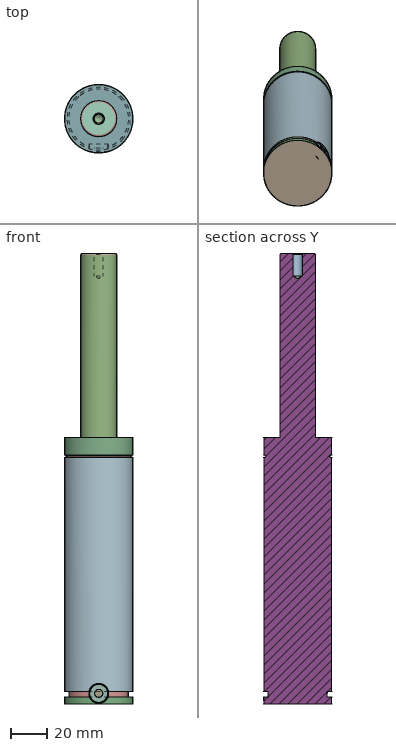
import cadquery as cq
import math

total_height = 250.0
body_diameter = 38.0
rod_diameter = 20.0
body_height = 148.0
rod_edge_radius = 1.0

base_groove_bottom = 4.0
base_groove_width = 3.0
base_groove_depth = 2.5

cap_height = 9.8
cap_groove_width = 1.5
cap_groove_depth = 1.5

rod_hole_diameter = 5.0
rod_hole_depth = 12.5
rod_hole_mouth_diameter = 6.2
drill_point_angle = 118

port_height = 6.0
port_diameter = 11.0
port_depth = 5.0
plug_diameter = 10.0
plug_recess = 0.8
plug_hole_diameter = 4.5
plug_hole_depth = 2.0

body_radius = body_diameter / 2


def make_body():
    """Plain cylinder with a smaller piston rod standing on top."""
    body = cq.Workplane("XY").circle(body_radius).extrude(body_height)
    rod = cq.Workplane("XY").circle(rod_diameter / 2).extrude(total_height)
    rod = rod.faces(">Z").edges().fillet(rod_edge_radius)
    return body.union(rod)


def base_groove():
    """Square-sided ring removed near the base."""
    ring = cq.Workplane("XY").workplane(offset=base_groove_bottom)
    ring = ring.circle(body_radius).circle(body_radius - base_groove_depth)
    return ring.extrude(base_groove_width)


def cap_groove():
    """V-shaped ring that separates the cap from the tube."""
    top = body_height - cap_height
    bottom = top - cap_groove_width
    root = (body_radius - cap_groove_depth, (top + bottom) / 2)
    section = cq.Workplane("XZ").polyline([(body_radius, bottom), root, (body_radius, top)]).close()
    return section.revolve(360, (0, 0, 0), (0, 1, 0))


def rod_hole():
    """Blind drilled hole with a countersunk mouth and a conical end."""
    hole_radius = rod_hole_diameter / 2
    mouth_radius = rod_hole_mouth_diameter / 2
    straight_bottom = total_height - rod_hole_depth
    point_height = hole_radius / math.tan(math.radians(drill_point_angle / 2))
    section = (
        cq.Workplane("XZ")
        .moveTo(0, total_height)
        .lineTo(mouth_radius, total_height)
        .lineTo(hole_radius, total_height - (mouth_radius - hole_radius))
        .lineTo(hole_radius, straight_bottom)
        .lineTo(0, straight_bottom - point_height)
        .close()
    )
    return section.revolve(360, (0, 0, 0), (0, 1, 0))


def port_cylinder(diameter, start_depth, length):
    """Radial cylinder starting below the outermost point of the -Y side."""
    plane = cq.Workplane("XZ", origin=(0, start_depth - body_radius, port_height))
    return plane.circle(diameter / 2).extrude(-length)


result = make_body().cut(base_groove()).cut(cap_groove()).cut(rod_hole())
result = result.cut(port_cylinder(port_diameter, 0, port_depth))
result = result.union(port_cylinder(plug_diameter, plug_recess, port_depth - plug_recess))
result = result.cut(port_cylinder(plug_hole_diameter, plug_recess, plug_hole_depth))